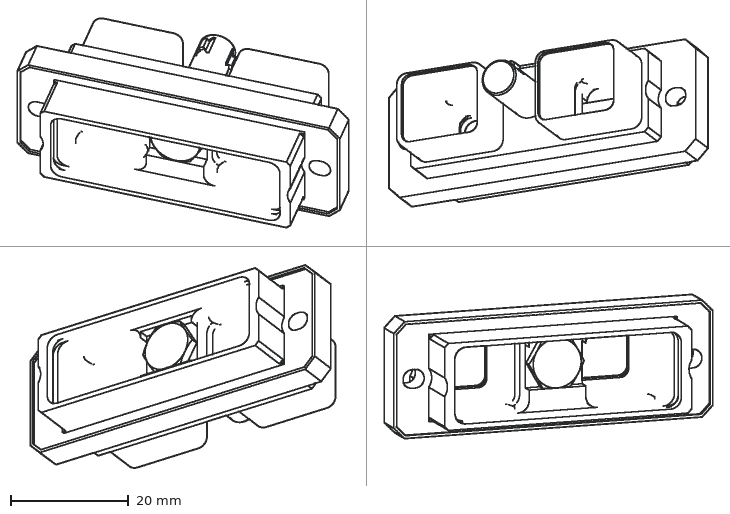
import cadquery as cq
import math


FLANGE_WIDTH = 57.45
FLANGE_HEIGHT = 20.35
FLANGE_CORNER = 1.95
FLANGE_FRONT = 7.65
FLANGE_BACK = 12.7
RIM_WIDTH = 0.5
RECESS_DEPTH = RIM_WIDTH
HOLE_X = 25.0
HOLE_LENGTH = 3.8
HOLE_HEIGHT = 3.2

BODY_WIDTH = 44.5
BODY_HEIGHT = 15.1
BODY_BACK = 17.85
BODY_CHAMFER = 0.7
GROOVE_RADIUS = 2.9
GROOVE_DEPTH = 0.5

CAVITY_HEIGHT = 13.3
CAVITY_RADIUS = 2.0
CAVITY_DEPTH = 5.5
CAVITY_HALF_WIDTH = 20.1
ENTRY_HALF_WIDTH = 20.4
ENTRY_DEPTH = 1.7
SNAP_GROOVE_WIDTH = 1.1
SNAP_GROOVE_DEPTH = 0.65

SLEEVE_X = 13.0
SLEEVE_WIDTH = 16.1
SLEEVE_BACK = 26.7
SLEEVE_RADIUS = 1.9
SLEEVE_EDGE = 0.7
WINDOW_INNER_X = 5.7
WINDOW_OUTER_X = 19.9
WINDOW_HEIGHT = 12.2
LIP_THICKNESS = SLEEVE_EDGE
RAMP_FRONT = 8.05
RAMP_BACK = 9.6
RAMP_HALF_HEIGHT = 6.5
NARROWING_FRONT = 10.45
NARROWING_BACK = 11.6
GUIDE_INNER_X = 5.6
GUIDE_OUTER_X = 20.0
GUIDE_HALF_HEIGHT = 6.4
GUIDE_RADIUS = 1.6

BLOCK_HALF_WIDTH = 5.1
BOLT_Z = 1.5
HEAD_SIZE = 8.6
HEAD_FRONT = 5.7
HEAD_TURN = 30
HEAD_CORNER_ANGLE = 30
SEAT_DEPTH = 7.45
SHAFT_RADIUS = 3.15
SHAFT_BACK = 30.4
SHAFT_CHAMFER = 0.3

PIN_ANGLES = (0, 120)
PIN_Y = 27.45
PIN_TIP_RADIUS = 3.7
PIN_LENGTH = 2.25
PIN_WIDTH = 1.0
FLAT_RADIUS = 2.8
FLAT_OUTER_LENGTH = 3.9
FLAT_INNER_LENGTH = 2.5
FLAT_STRAIGHT_FROM = 1.1


def block(width, height, y_front, y_back, x=0.0, z=0.0):
    """Box centred on x and z, reaching from y_front to y_back."""
    depth = y_back - y_front
    return cq.Workplane("XY").box(width, depth, height).translate((x, y_front + depth / 2, z))


def rod(radius, y_front, y_back, x=0.0, z=0.0):
    """Round bar parallel to Y."""
    return cq.Workplane("XZ", origin=(x, y_front, z)).circle(radius).extrude(y_front - y_back)


def rounded(x_low, x_high, half_height, radius):
    """Rounded rectangle spanning x_low to x_high, centred on z = 0."""
    outline = cq.Sketch().rect(x_high - x_low, 2 * half_height).vertices().fillet(radius)
    return outline.moved(cq.Location(cq.Vector((x_low + x_high) / 2, 0, 0)))


def passage(stations):
    """Opening through successive (y, x_low, x_high, half_height, radius) rounded sections."""
    solid = None
    for front, back in zip(stations, stations[1:]):
        length = back[0] - front[0]
        start = rounded(*front[1:])
        end = rounded(*back[1:])
        end = end.moved(cq.Location(cq.Vector(0, 0, -length)))
        stage = cq.Workplane("XZ", origin=(0, front[0], 0)).placeSketch(start, end).loft(ruled=True)
        solid = stage if solid is None else solid.union(stage)
    return solid


def make_flange():
    plate = block(FLANGE_WIDTH, FLANGE_HEIGHT, FLANGE_FRONT, FLANGE_BACK)
    plate = plate.edges("|Y").chamfer(FLANGE_CORNER)
    recess = block(
        FLANGE_WIDTH - 2 * RIM_WIDTH,
        FLANGE_HEIGHT - 2 * RIM_WIDTH,
        FLANGE_FRONT,
        FLANGE_FRONT + RECESS_DEPTH,
    )
    recess = recess.edges("|Y").chamfer(FLANGE_CORNER - (2 - math.sqrt(2)) * RIM_WIDTH)
    holes = (
        cq.Workplane("XZ")
        .pushPoints([(-HOLE_X, 0), (HOLE_X, 0)])
        .slot2D(HOLE_LENGTH, HOLE_HEIGHT)
        .extrude(-FLANGE_BACK)
    )
    return plate.cut(recess).cut(holes)


def make_body():
    body = block(BODY_WIDTH, BODY_HEIGHT, 0, BODY_BACK).edges("|Y").chamfer(BODY_CHAMFER)
    foot = block(BODY_WIDTH, BODY_HEIGHT, FLANGE_FRONT, FLANGE_FRONT + RECESS_DEPTH)
    body = body.union(foot)
    groove_x = BODY_WIDTH / 2 - GROOVE_DEPTH + GROOVE_RADIUS
    for side in (-1, 1):
        body = body.cut(rod(GROOVE_RADIUS, 0, BODY_BACK, side * groove_x))
    return body


def make_sleeve(side):
    sleeve = block(SLEEVE_WIDTH, CAVITY_HEIGHT, FLANGE_BACK, SLEEVE_BACK, side * SLEEVE_X)
    return sleeve.edges("|Y").fillet(SLEEVE_RADIUS).faces(">Y").edges().fillet(SLEEVE_EDGE)


def make_cavity():
    """Shared cavity with a snap groove cut into both end walls just behind the entry."""
    groove_back = ENTRY_DEPTH + SNAP_GROOVE_WIDTH
    stages = (
        (0, ENTRY_DEPTH, ENTRY_HALF_WIDTH),
        (ENTRY_DEPTH, groove_back, ENTRY_HALF_WIDTH + SNAP_GROOVE_DEPTH),
        (groove_back, CAVITY_DEPTH, CAVITY_HALF_WIDTH),
    )
    cavity = cq.Workplane("XZ")
    for front, back, half_width in stages:
        section = (-half_width, half_width, CAVITY_HEIGHT / 2, CAVITY_RADIUS)
        cavity = cavity.union(passage([(front, *section), (back, *section)]))
    return cavity


def make_port():
    """Port on the +X side: a bore narrowing to a guide section, then a lip around the window."""
    full = (BLOCK_HALF_WIDTH, CAVITY_HALF_WIDTH, CAVITY_HEIGHT / 2, CAVITY_RADIUS)
    guide = (GUIDE_INNER_X, GUIDE_OUTER_X, GUIDE_HALF_HEIGHT, GUIDE_RADIUS)
    window = (WINDOW_INNER_X, WINDOW_OUTER_X, WINDOW_HEIGHT / 2, GUIDE_RADIUS)
    lip_front = SLEEVE_BACK - LIP_THICKNESS
    bore = passage([
        (CAVITY_DEPTH, *full),
        (NARROWING_FRONT, *full),
        (NARROWING_BACK, *guide),
        (lip_front, *guide),
    ])
    floor = [
        (CAVITY_DEPTH, CAVITY_HEIGHT / 2),
        (RAMP_FRONT, CAVITY_HEIGHT / 2),
        (RAMP_BACK, RAMP_HALF_HEIGHT),
        (NARROWING_FRONT, RAMP_HALF_HEIGHT),
        (NARROWING_BACK, GUIDE_HALF_HEIGHT),
        (lip_front, GUIDE_HALF_HEIGHT),
    ]
    roof = [(y, -z) for y, z in reversed(floor)]
    side_profile = cq.Workplane("YZ").polyline(floor + roof).close().extrude(CAVITY_HALF_WIDTH)
    return bore.intersect(side_profile).union(passage([(lip_front, *window), (SLEEVE_BACK, *window)]))


def make_bolt():
    head = (
        cq.Workplane("XZ", origin=(0, HEAD_FRONT, BOLT_Z))
        .transformed(rotate=(0, 0, HEAD_TURN))
        .polygon(6, HEAD_SIZE, circumscribed=True)
        .extrude(HEAD_FRONT - SEAT_DEPTH)
    )
    cone_growth = (SEAT_DEPTH - HEAD_FRONT) / math.tan(math.radians(HEAD_CORNER_ANGLE))
    cone = (
        cq.Workplane("XY")
        .polyline([
            (0, HEAD_FRONT),
            (HEAD_SIZE / 2, HEAD_FRONT),
            (HEAD_SIZE / 2 + cone_growth, SEAT_DEPTH),
            (0, SEAT_DEPTH),
        ])
        .close()
        .revolve(360, (0, 0, 0), (0, 1, 0))
        .translate((0, 0, BOLT_Z))
    )
    shaft = rod(SHAFT_RADIUS, SEAT_DEPTH, SHAFT_BACK, 0, BOLT_Z).faces(">Y").chamfer(SHAFT_CHAMFER)
    for angle in PIN_ANGLES:
        flats, pin = make_pin(angle)
        shaft = shaft.cut(flats).union(pin)
    return head.intersect(cone).union(shaft)


def make_pin(angle):
    """Locking pin and the two flats beside it, turned by angle from +X about the shaft axis."""
    half_pin = PIN_WIDTH / 2
    flats = None
    for side in (-1, 1):
        flat = (
            cq.Workplane("ZY", origin=(FLAT_RADIUS, 0, 0))
            .polyline([
                (side * half_pin, FLAT_INNER_LENGTH / 2),
                (side * FLAT_STRAIGHT_FROM, FLAT_OUTER_LENGTH / 2),
                (side * SHAFT_RADIUS, FLAT_OUTER_LENGTH / 2),
                (side * SHAFT_RADIUS, -FLAT_OUTER_LENGTH / 2),
                (side * FLAT_STRAIGHT_FROM, -FLAT_OUTER_LENGTH / 2),
                (side * half_pin, -FLAT_INNER_LENGTH / 2),
            ])
            .close()
            .extrude(FLAT_RADIUS - SHAFT_RADIUS)
        )
        flats = flat if flats is None else flats.union(flat)
    half_length = PIN_LENGTH / 2
    pin = block(2 * PIN_TIP_RADIUS, PIN_WIDTH, -half_length, half_length, PIN_TIP_RADIUS)
    pin = pin.intersect(rod(PIN_TIP_RADIUS, -half_length, half_length))

    def place(solid):
        return solid.rotate((0, 0, 0), (0, 1, 0), -angle).translate((0, PIN_Y, BOLT_Z))

    return place(flats), place(pin)


bolt_seat = block(2 * BLOCK_HALF_WIDTH, HEAD_SIZE, CAVITY_DEPTH, SEAT_DEPTH, 0, BOLT_Z)
port = make_port()

result = make_flange().union(make_body())
for side in (-1, 1):
    result = result.union(make_sleeve(side))
result = result.cut(make_cavity()).cut(port).cut(port.mirror("YZ")).cut(bolt_seat)
result = result.union(make_bolt())